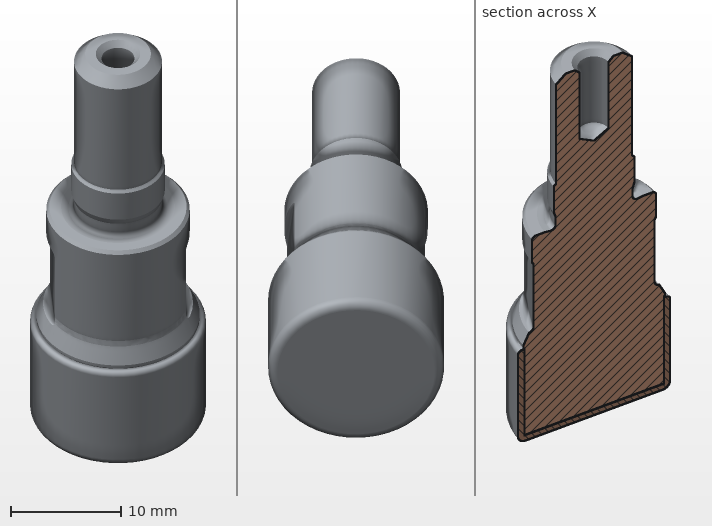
import cadquery as cq

TOTAL_HEIGHT = 42.0
COLLAR_TOP = 29.3
COLLAR_BOTTOM = 26.0
NECK_TOP = 25.35
SHOULDER_Z = 24.02
CONE_TOP = 13.3
RIM_TOP = 11.45
RIM_BOTTOM = 11.15
CAP_TOP = 11.0

SHAFT_RADIUS = 8.0 / 2
TIP_RADIUS = 3.0
TIP_CHAMFER_HEIGHT = 0.9
COLLAR_RADIUS = 8.5 / 2
NECK_RADIUS = 8.1 / 2
COLLAR_CHAMFER = COLLAR_RADIUS - SHAFT_RADIUS
RECESS_OUTER_RADIUS = 5.15
RECESS_INNER_RADIUS = 4.5
RECESS_DEPTH = 0.1
NECK_FILLET = RECESS_INNER_RADIUS - NECK_RADIUS
BODY_RADIUS = 13.0 / 2
BODY_CHAMFER = 0.3
CONE_FILLET = 1.25
SELECT_MARGIN = 0.05
SPIGOT_RADIUS = 7.3
RIM_RADIUS = 14.83 / 2

HOLE_RADIUS = 3.0 / 2
HOLE_MOUTH_RADIUS = 2.0
HOLE_DEPTH = 8.4
HOLE_TIP_HEIGHT = 0.85

FLAT_DISTANCE = 5.95
FLAT_BOTTOM = 12.73
FLAT_TOP = 21.05
FLAT_END_FILLET = 0.45
FLAT_ANGLE = -20.0
FLAT_CUT_DEPTH = 2.1
FLAT_CUT_WIDTH = 2 * BODY_RADIUS

CAP_RADIUS = 15.95 / 2
CAP_TOP_FILLET = 0.45
CAP_BOTTOM_FILLET = 0.85
CAP_WALL = CAP_RADIUS - SPIGOT_RADIUS
SPIGOT_BOTTOM = CAP_WALL


def spindle_blank():
    """Revolved shaft, collar, neck, body, cone, undercut rim and spigot."""
    recess_z = SHOULDER_Z - RECESS_DEPTH
    blank = (
        cq.Workplane("XZ")
        .moveTo(0, SPIGOT_BOTTOM)
        .lineTo(SPIGOT_RADIUS, SPIGOT_BOTTOM)
        .lineTo(SPIGOT_RADIUS, CAP_TOP)
        .lineTo(RIM_RADIUS, RIM_BOTTOM)
        .lineTo(RIM_RADIUS, RIM_TOP)
        .lineTo(BODY_RADIUS, CONE_TOP)
        .lineTo(BODY_RADIUS, SHOULDER_Z - BODY_CHAMFER)
        .lineTo(BODY_RADIUS - BODY_CHAMFER, SHOULDER_Z)
        .lineTo(RECESS_OUTER_RADIUS, SHOULDER_Z)
        .lineTo(RECESS_INNER_RADIUS, recess_z)
        .radiusArc((NECK_RADIUS, recess_z + NECK_FILLET), NECK_FILLET)
        .lineTo(NECK_RADIUS, NECK_TOP)
        .lineTo(COLLAR_RADIUS, COLLAR_BOTTOM)
        .lineTo(COLLAR_RADIUS, COLLAR_TOP - COLLAR_CHAMFER)
        .lineTo(SHAFT_RADIUS, COLLAR_TOP)
        .lineTo(SHAFT_RADIUS, TOTAL_HEIGHT - TIP_CHAMFER_HEIGHT)
        .lineTo(TIP_RADIUS, TOTAL_HEIGHT)
        .lineTo(0, TOTAL_HEIGHT)
        .close()
        .revolve(360, (0, 0), (0, 1))
    )
    corner = cq.selectors.BoxSelector(
        (-CAP_RADIUS, -CAP_RADIUS, CONE_TOP - SELECT_MARGIN),
        (CAP_RADIUS, CAP_RADIUS, CONE_TOP + SELECT_MARGIN),
        boundingbox=True,
    )
    return blank.edges(corner).fillet(CONE_FILLET)


def centre_hole():
    """Countersunk blind hole with a conical bottom."""
    floor_z = TOTAL_HEIGHT - HOLE_DEPTH
    countersink_depth = HOLE_MOUTH_RADIUS - HOLE_RADIUS
    return (
        cq.Workplane("XZ")
        .moveTo(0, floor_z - HOLE_TIP_HEIGHT)
        .lineTo(HOLE_RADIUS, floor_z)
        .lineTo(HOLE_RADIUS, TOTAL_HEIGHT - countersink_depth)
        .lineTo(HOLE_MOUTH_RADIUS, TOTAL_HEIGHT)
        .lineTo(0, TOTAL_HEIGHT)
        .close()
        .revolve(360, (0, 0), (0, 1))
    )


def flat_cutter(angle):
    """Cutter for one wrench flat with a fillet along both end walls."""
    flat_centre = (0, -FLAT_DISTANCE - FLAT_CUT_DEPTH / 2, (FLAT_BOTTOM + FLAT_TOP) / 2)
    return (
        cq.Workplane("XY")
        .box(FLAT_CUT_WIDTH, FLAT_CUT_DEPTH, FLAT_TOP - FLAT_BOTTOM)
        .translate(flat_centre)
        .faces(">Y")
        .edges("|X")
        .fillet(FLAT_END_FILLET)
        .rotate((0, 0, 0), (0, 0, 1), angle)
    )


def make_spindle():
    """Turned spindle with its centre hole and two opposite wrench flats."""
    spindle = spindle_blank().cut(centre_hole())
    for angle in (FLAT_ANGLE, FLAT_ANGLE + 180):
        spindle = spindle.cut(flat_cutter(angle))
    return spindle


def make_cap():
    """Round cup that holds the spigot of the spindle."""
    cap = cq.Workplane("XY").circle(CAP_RADIUS).extrude(CAP_TOP)
    cap = cap.faces(">Z").edges().fillet(CAP_TOP_FILLET)
    cap = cap.faces("<Z").edges().fillet(CAP_BOTTOM_FILLET)
    socket = (
        cq.Workplane("XY")
        .workplane(offset=SPIGOT_BOTTOM)
        .circle(SPIGOT_RADIUS)
        .extrude(CAP_TOP - SPIGOT_BOTTOM)
    )
    return cap.cut(socket)


spindle = make_spindle()
cap = make_cap()
result = cq.Compound.makeCompound([spindle.val(), cap.val()])